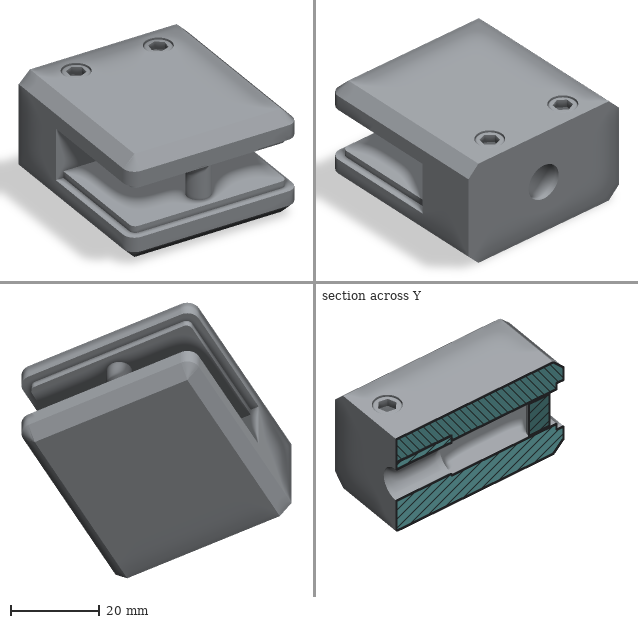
import cadquery as cq
import math

length = 48.0
width = 45.0
height = 27.0
edge_bevel = 3.0

back_depth = 16.0
jaw_gap = 13.5

pad_thickness = 1.75
pad_front_inset = 2.0
pad_side_inset = 2.0
pad_corner_radius = 1.5

back_hole_diameter = 9.0

pin_diameter = 5.95
pin_x = 41.05
pin_end_gap = 0.25

screw_x = 6.0
screw_spacing = 21.9
head_diameter = 7.0
head_height = 4.0
head_rounding = 0.6
head_recess = 0.25
shank_diameter = 4.0
shank_length = 12.0
socket_sides = 6
socket_across_flats = 4.05
socket_depth = 2.0
socket_turns = [-5.0, -10.5]

full_turn = 360
top_z = height / 2
gap_half = jaw_gap / 2
pad_length = length - pad_front_inset - back_depth
pad_width = width - 2 * pad_side_inset
screw_places = [(screw_x, -screw_spacing / 2), (screw_x, screw_spacing / 2)]


def placed_box(x_start, x_size, y_size, z_start, z_size):
    """Box centred on Y, placed by its lowest X and Z."""
    return (
        cq.Workplane("XY")
        .box(x_size, y_size, z_size, centered=(False, True, False))
        .translate((x_start, 0, z_start))
    )


def make_envelope():
    """Bevelled outer block whose round front corners run into cones at top and bottom."""
    straight_length = length - edge_bevel
    flat_width = width - 2 * edge_bevel
    side_height = height - 2 * edge_bevel
    main_block = (
        placed_box(0, straight_length, width, -top_z, height)
        .edges("|X")
        .chamfer(edge_bevel)
    )
    nose_profile = [
        (0, -top_z),
        (edge_bevel, -side_height / 2),
        (edge_bevel, side_height / 2),
        (0, top_z),
    ]
    nose = (
        cq.Workplane("XZ", origin=(straight_length, 0, 0))
        .polyline(nose_profile)
        .close()
        .extrude(flat_width / 2, both=True)
    )
    envelope = main_block.union(nose)
    for side in (-1, 1):
        corner = (
            cq.Workplane("XZ", origin=(straight_length, side * flat_width / 2, 0))
            .polyline(nose_profile)
            .close()
            .revolve(full_turn, (0, 0, 0), (0, 1, 0))
        )
        envelope = envelope.union(corner)
    return envelope


def make_pad(z_start):
    """Flat pad reaching from the back wall almost to the mouth's front edge."""
    return (
        placed_box(back_depth, pad_length, pad_width, z_start, pad_thickness)
        .edges("|Z and >X")
        .fillet(pad_corner_radius)
    )


def make_screw(place, socket_turn):
    """Cylinder head with a rounded rim and a hexagon socket, and a plain shank below it."""
    corner_diameter = socket_across_flats / math.cos(math.pi / socket_sides)
    head = (
        cq.Workplane("XY")
        .circle(head_diameter / 2)
        .extrude(-head_height)
        .faces(">Z")
        .fillet(head_rounding)
    )
    shank = (
        cq.Workplane("XY")
        .workplane(offset=-head_height)
        .circle(shank_diameter / 2)
        .extrude(-shank_length)
    )
    socket = cq.Workplane("XY").polygon(socket_sides, corner_diameter).extrude(-socket_depth)
    screw = head.union(shank).cut(socket)
    return screw.rotate((0, 0, 0), (0, 0, 1), socket_turn).translate((*place, top_z - head_recess))


def make_screw_holes():
    """Stepped holes that the screws fit into, each head sitting just below the top face."""
    return (
        cq.Workplane("XY", origin=(0, 0, top_z))
        .pushPoints(screw_places)
        .circle(head_diameter / 2)
        .extrude(-head_recess - head_height)
        .pushPoints(screw_places)
        .circle(shank_diameter / 2)
        .extrude(-head_recess - head_height - shank_length)
    )


def make_base(envelope, screw_holes):
    """Back block and lower jaw with its pad."""
    below_cover = placed_box(0, length, width, -top_z, top_z + gap_half)
    mouth = placed_box(back_depth, length - back_depth, width, -gap_half, jaw_gap)
    back_hole = cq.Workplane("YZ").circle(back_hole_diameter / 2).extrude(back_depth)
    return (
        envelope.intersect(below_cover)
        .cut(mouth)
        .union(make_pad(-gap_half))
        .cut(back_hole)
        .cut(screw_holes)
    )


def make_cover(envelope, screw_holes):
    """Upper jaw plate with its pad."""
    above_base = placed_box(0, length, width, gap_half, top_z - gap_half)
    return (
        envelope.intersect(above_base)
        .union(make_pad(gap_half - pad_thickness))
        .cut(screw_holes)
    )


def make_pin():
    """Round pin spanning the mouth between the two pads."""
    pin_length = jaw_gap - 2 * (pad_thickness + pin_end_gap)
    return (
        cq.Workplane("XY", origin=(pin_x, 0, -pin_length / 2))
        .circle(pin_diameter / 2)
        .extrude(pin_length)
    )


envelope = make_envelope()
screw_holes = make_screw_holes()
base = make_base(envelope, screw_holes)
cover = make_cover(envelope, screw_holes)
pin = make_pin()
screws = [make_screw(place, turn) for place, turn in zip(screw_places, socket_turns)]

result = cq.Compound.makeCompound(
    [base.val(), cover.val(), pin.val(), *[screw.val() for screw in screws]]
)